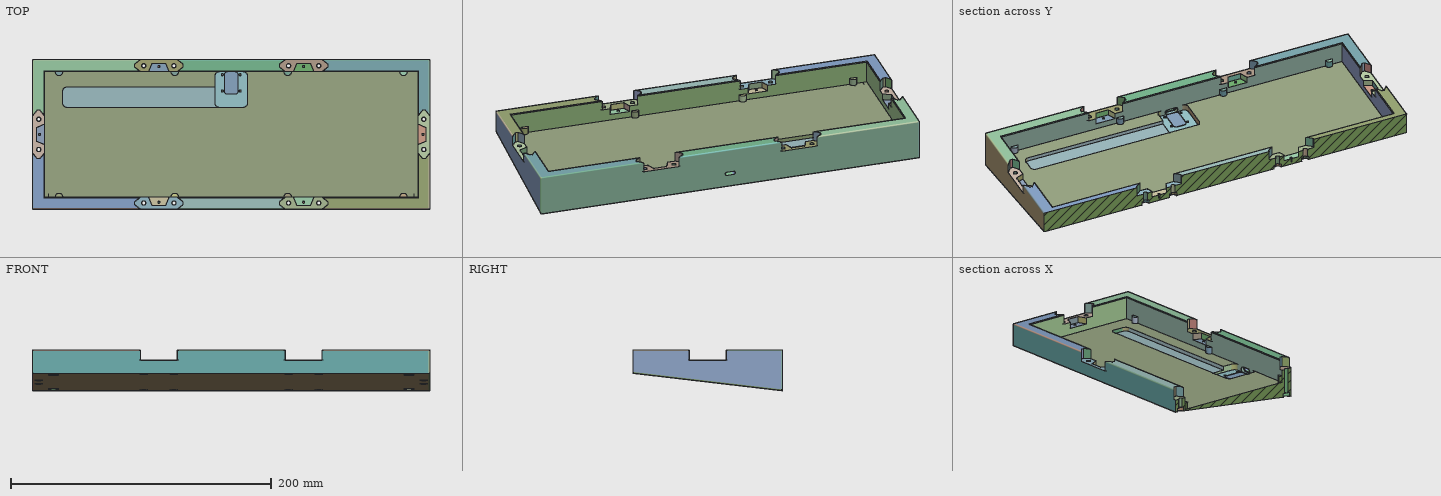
import cadquery as cq
import math

LENGTH = 305.7
DEPTH = 115.2
HEIGHT = 31.5
FRONT_RISE = 13.5
SLOPE = math.degrees(math.atan(FRONT_RISE / DEPTH))
EDGE_RADIUS = 1.0
INNER_CHAMFER = 0.5

WALL = 9.5
FLOOR_Z = 13.8
CAVITY_LENGTH = LENGTH - 2 * WALL
CAVITY_DEPTH = DEPTH - 2 * WALL
WALL_BACK_Y = CAVITY_DEPTH / 2

NOTCH_FLOOR_Z = HEIGHT - 8.0
NOTCH_HALF = 14.0
NOTCH_TIP_HALF = 18.5
NOTCH_TIP_WIDTH = 2.0
JOINT_X = 55.5
SCREW_OFFSET = 11.5
SCREW_INSET = 5.0
SCREW_DIAMETER = 3.0
SCREW_HEAD_DIAMETER = 5.8
SCREW_HEAD_DEPTH = 3.0
TAPER_POCKET_DEPTH = 5.0
TAPER_POCKET_MARGIN = 3.0
TAPER_POCKET_BACK_HALF = 5.2
TAPER_POCKET_MOUTH_HALF = 8.0
INSERT_DIAMETER = 1.62
INSERT_DEPTH = 3.0
INSERT_Y = 5.5

POCKET_WIDTH = 25.0
POCKET_FRONT_Y = 20.8
POCKET_DEPTH = 5.0
CHANNEL_LEFT_X = -129.5
CHANNEL_BACK_Y = 36.5
CHANNEL_DEPTH = 3.0
POCKET_CORNER_RADIUS = 3.5
SEAT_WIDTH = 10.7
SEAT_FRONT_Y = 31.0
SEAT_DEPTH = 0.3
SEAT_CORNER_RADIUS = 2.5
PEG_HOLE_X = 6.85
PEG_HOLES_Y = (33.3, 46.0)
PEG_HOLE_DIAMETER = 1.62
PEG_HOLE_DEPTH = 1.5
PLUG_RECESS_WIDTH = 10.5
PLUG_RECESS_HEIGHT = 4.3
PLUG_RECESS_DEPTH = 2.5
PORT_WIDTH = 8.0
PORT_HEIGHT = 2.8

FOOT_DIAMETER = 8.0
FOOT_RECESS_DEPTH = 1.0
FOOT_X = 136.5
FOOT_Y = 47.0

POST_DIAMETER = 5.8
POST_HEIGHT = 5.2
POSTS_X = (-132.5, -43.5, 43.5, 132.5)


def underside_z(y):
    return FRONT_RISE * (DEPTH / 2 - y) / DEPTH


def block(x0, x1, y0, y1, z0, z1):
    return cq.Workplane("XY").box(x1 - x0, y1 - y0, z1 - z0, centered=False).translate((x0, y0, z0))


def cylinder(x, y, z, diameter, height):
    return cq.Workplane("XY").circle(diameter / 2).extrude(height).translate((x, y, z))


def make_shell():
    profile = [
        (-DEPTH / 2, FRONT_RISE),
        (DEPTH / 2, 0),
        (DEPTH / 2, HEIGHT),
        (-DEPTH / 2, HEIGHT),
    ]
    shell = cq.Workplane("YZ").polyline(profile).close().extrude(LENGTH / 2, both=True)
    shell = shell.edges("|Z or >Z or <X or >X").fillet(EDGE_RADIUS)
    cavity = (
        cq.Workplane("XY", origin=(0, 0, FLOOR_Z))
        .rect(CAVITY_LENGTH, CAVITY_DEPTH)
        .extrude(HEIGHT - FLOOR_Z)
    )
    rim = (
        cq.Workplane("XY", origin=(0, 0, HEIGHT - INNER_CHAMFER))
        .rect(CAVITY_LENGTH, CAVITY_DEPTH)
        .workplane(offset=INNER_CHAMFER)
        .rect(CAVITY_LENGTH + 2 * INNER_CHAMFER, CAVITY_DEPTH + 2 * INNER_CHAMFER)
        .loft()
    )
    return shell.cut(cavity).cut(rim)


def joint_places():
    """Rotation about Z and translation that carry a joint to each place on the rim."""
    back = DEPTH / 2
    side = LENGTH / 2
    return [
        (0, -JOINT_X, -back),
        (0, JOINT_X, -back),
        (180, -JOINT_X, back),
        (180, JOINT_X, back),
        (-90, -side, 0),
        (90, side, 0),
    ]


def make_joint_cut():
    """Notch, tapered pocket and insert hole on a wall whose outer face is Y = 0, inside is +Y."""
    notch = (
        cq.Workplane("XY", origin=(0, 0, NOTCH_FLOOR_Z))
        .polyline([
            (-NOTCH_HALF, 0),
            (NOTCH_HALF, 0),
            (NOTCH_TIP_HALF, (WALL - NOTCH_TIP_WIDTH) / 2),
            (NOTCH_TIP_HALF, (WALL + NOTCH_TIP_WIDTH) / 2),
            (NOTCH_HALF, WALL),
            (-NOTCH_HALF, WALL),
            (-NOTCH_TIP_HALF, (WALL + NOTCH_TIP_WIDTH) / 2),
            (-NOTCH_TIP_HALF, (WALL - NOTCH_TIP_WIDTH) / 2),
        ])
        .close()
        .extrude(HEIGHT - NOTCH_FLOOR_Z)
    )
    pocket_z = NOTCH_FLOOR_Z - TAPER_POCKET_DEPTH
    pocket = (
        cq.Workplane("XY", origin=(0, 0, pocket_z))
        .polyline([
            (-TAPER_POCKET_BACK_HALF, TAPER_POCKET_MARGIN),
            (TAPER_POCKET_BACK_HALF, TAPER_POCKET_MARGIN),
            (TAPER_POCKET_MOUTH_HALF, WALL),
            (-TAPER_POCKET_MOUTH_HALF, WALL),
        ])
        .close()
        .extrude(TAPER_POCKET_DEPTH)
    )
    insert = cylinder(0, INSERT_Y, pocket_z - INSERT_DEPTH, INSERT_DIAMETER, INSERT_DEPTH)
    return notch.union(pocket).union(insert)


def screw_positions():
    points = []
    for angle, x, y in joint_places():
        turn = math.radians(angle)
        for along in (-SCREW_OFFSET, SCREW_OFFSET):
            points.append((
                x + along * math.cos(turn) - SCREW_INSET * math.sin(turn),
                y + along * math.sin(turn) + SCREW_INSET * math.cos(turn),
            ))
    return points


def cut_joints(case):
    joint = make_joint_cut()
    for angle, x, y in joint_places():
        case = case.cut(joint.rotate((0, 0, 0), (0, 0, 1), angle).translate((x, y, 0)))
    for x, y in screw_positions():
        case = case.cut(cylinder(x, y, 0, SCREW_DIAMETER, HEIGHT))
        head_seat_z = underside_z(y) + SCREW_HEAD_DEPTH
        case = case.cut(cylinder(x, y, 0, SCREW_HEAD_DIAMETER, head_seat_z))
    return case


def wall_slot(width, height, z, back_y):
    """Round-ended slot that runs from the cavity into the back wall as far as back_y."""
    length = back_y - WALL_BACK_Y
    return cq.Workplane("XZ", origin=(0, back_y, z)).slot2D(width, height).extrude(length)


def cut_floor(case):
    pocket_z = FLOOR_Z - POCKET_DEPTH
    channel_z = FLOOR_Z - CHANNEL_DEPTH
    seat_z = pocket_z - SEAT_DEPTH
    pocket = block(-POCKET_WIDTH / 2, POCKET_WIDTH / 2, POCKET_FRONT_Y, WALL_BACK_Y, pocket_z, FLOOR_Z)
    channel = block(CHANNEL_LEFT_X, 0, POCKET_FRONT_Y, CHANNEL_BACK_Y, channel_z, FLOOR_Z)
    seat = block(-SEAT_WIDTH / 2, SEAT_WIDTH / 2, SEAT_FRONT_Y, WALL_BACK_Y, seat_z, pocket_z)
    case = case.cut(pocket.edges("|Z").fillet(POCKET_CORNER_RADIUS))
    case = case.cut(channel.edges("|Z and <X").fillet(POCKET_CORNER_RADIUS))
    case = case.cut(seat.edges("|Z").fillet(SEAT_CORNER_RADIUS))
    for x in (-PEG_HOLE_X, PEG_HOLE_X):
        for y in PEG_HOLES_Y:
            case = case.cut(cylinder(x, y, pocket_z - PEG_HOLE_DEPTH, PEG_HOLE_DIAMETER, PEG_HOLE_DEPTH))
    port_z = pocket_z + PLUG_RECESS_HEIGHT / 2
    plug_recess = wall_slot(PLUG_RECESS_WIDTH, PLUG_RECESS_HEIGHT, port_z, WALL_BACK_Y + PLUG_RECESS_DEPTH)
    port = wall_slot(PORT_WIDTH, PORT_HEIGHT, port_z, DEPTH / 2)
    return case.cut(plug_recess).cut(port)


def cut_feet(case):
    for x in (-FOOT_X, FOOT_X):
        for y in (-FOOT_Y, FOOT_Y):
            recess = (
                cylinder(0, 0, -FOOT_RECESS_DEPTH, FOOT_DIAMETER, 2 * FOOT_RECESS_DEPTH)
                .rotate((0, 0, 0), (1, 0, 0), -SLOPE)
                .translate((x, y, underside_z(y)))
            )
            case = case.cut(recess)
    return case


def make_post(x, side):
    """Half-round post standing on the floor against the back (+1) or front (-1) cavity wall."""
    radius = POST_DIAMETER / 2
    return (
        cq.Workplane("XY", origin=(x, side * WALL_BACK_Y, FLOOR_Z))
        .moveTo(-radius, 0)
        .threePointArc((0, -side * radius), (radius, 0))
        .close()
        .extrude(POST_HEIGHT)
    )


case = cut_feet(cut_floor(cut_joints(make_shell())))
posts = [make_post(x, side) for x in POSTS_X for side in (-1, 1)]

result = cq.Compound.makeCompound([case.val(), *[post.val() for post in posts]])